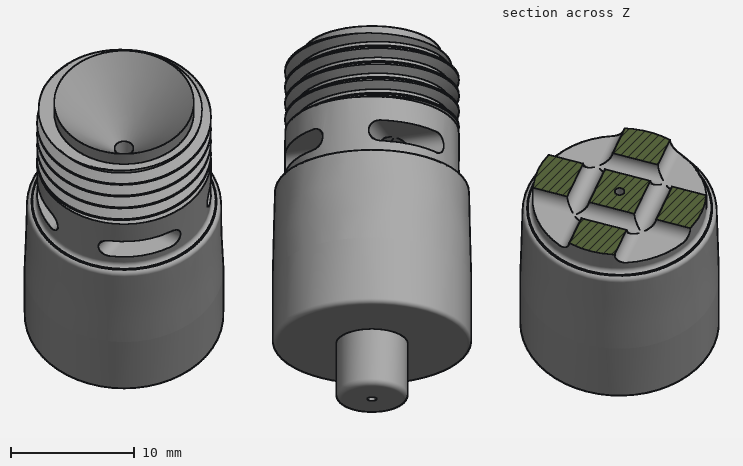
import cadquery as cq
import math

total_height = 30.6
base_height = 4.9
taper_start = 10.68
shoulder_height = 18.7
ledge_rise = 0.05
thread_bottom = 23.68
thread_top = 29.35

base_diameter = 16.1
shoulder_diameter = 15.73
neck_diameter = 14.08
rim_diameter = 11.3
pin_diameter = 5.8
base_round = 0.37
shoulder_round = 0.37
neck_fillet = 0.37
pin_round = 0.45

root_diameter = 12.58
pitch = 1.4
crest_width = 0.15
ridge_root_width = 1.1
crest_height_at_minus_x = 27.97

air_hole_diameter = 1.85
air_hole_offset = 2.88
air_hole_height = 20.7

funnel_depth = 5.5
funnel_throat_diameter = 1.53
passage_diameter = 0.73
throat_depth = 2.45


def revolve_profile(profile):
    """Turn a half profile, drawn as radius and height, about the Z axis."""
    return profile.close().revolve(360, (0, 0, 0), (0, 1, 0))


def make_threaded_core():
    """Root cylinder with a helical ridge, trimmed flat at both thread ends."""
    length = thread_top - thread_bottom
    root_radius = root_diameter / 2
    crest_radius = neck_diameter / 2
    flank_slope = (ridge_root_width - crest_width) / 2 / (crest_radius - root_radius)
    root_overlap = 0.05
    buried_half = ridge_root_width / 2 + flank_slope * root_overlap
    buried_radius = root_radius - root_overlap
    turns = math.ceil(length / pitch) + 2
    start = crest_height_at_minus_x - pitch * (turns - 2)
    ridge_section = (
        cq.Workplane("XZ")
        .moveTo(buried_radius, -buried_half)
        .lineTo(crest_radius, -crest_width / 2)
        .lineTo(crest_radius, crest_width / 2)
        .lineTo(buried_radius, buried_half)
        .close()
    )
    path = cq.Workplane(obj=cq.Wire.makeHelix(pitch, pitch * turns, root_radius))
    ridge = ridge_section.sweep(path, isFrenet=True)
    ridge = ridge.rotate((0, 0, 0), (0, 0, 1), 180).translate((0, 0, start))
    core_start = thread_bottom - length
    core = cq.Workplane("XY").workplane(offset=core_start).circle(root_radius).extrude(3 * length)
    trim = cq.Workplane("XY").workplane(offset=thread_bottom).circle(neck_diameter).extrude(length)
    return core.union(ridge).intersect(trim)


def make_outer_body():
    """Base cylinder, tapered sleeve, filleted neck and thin-edged rim."""
    base_radius = base_diameter / 2
    shoulder_radius = shoulder_diameter / 2
    neck_radius = neck_diameter / 2
    ledge_height = shoulder_height + ledge_rise
    diagonal = 1 - math.sqrt(0.5)
    sleeve = revolve_profile(
        cq.Workplane("XZ")
        .moveTo(0, base_height)
        .lineTo(base_radius - base_round, base_height)
        .threePointArc(
            (base_radius - base_round * diagonal, base_height + base_round * diagonal),
            (base_radius, base_height + base_round),
        )
        .lineTo(base_radius, taper_start)
        .lineTo(shoulder_radius, shoulder_height - shoulder_round)
        .threePointArc(
            (shoulder_radius - shoulder_round * diagonal, shoulder_height - shoulder_round * diagonal),
            (shoulder_radius - shoulder_round, shoulder_height),
        )
        .lineTo(neck_radius + neck_fillet, ledge_height)
        .threePointArc(
            (neck_radius + neck_fillet * diagonal, ledge_height + neck_fillet * diagonal),
            (neck_radius, ledge_height + neck_fillet),
        )
        .lineTo(neck_radius, thread_bottom)
        .lineTo(0, thread_bottom)
    )
    rim = (
        cq.Workplane("XY").workplane(offset=thread_top)
        .circle(rim_diameter / 2).extrude(total_height - thread_top)
    )
    return sleeve.union(make_threaded_core()).union(rim)


def make_air_cuts():
    """Two pairs of crossing holes and the rounded notch outside each crossing."""
    reach = base_diameter
    radius = air_hole_diameter / 2
    cuts = cq.Workplane("XY")
    for side in (-1, 1):
        offset = side * air_hole_offset
        along_y = cq.Workplane("XZ").center(offset, air_hole_height).circle(radius).extrude(reach, both=True)
        along_x = cq.Workplane("YZ").center(offset, air_hole_height).circle(radius).extrude(reach, both=True)
        cuts = cuts.union(along_y).union(along_x)
        for other_side in (-1, 1):
            notch = cq.Workplane("XY").box(reach, reach, air_hole_diameter).translate((
                side * (air_hole_offset + reach / 2),
                other_side * (air_hole_offset + reach / 2),
                air_hole_height,
            ))
            cuts = cuts.union(notch)
    return cuts


def make_funnel():
    """Intake cone that narrows steeply to the passage below its throat."""
    throat_height = total_height - funnel_depth
    return revolve_profile(
        cq.Workplane("XZ")
        .moveTo(0, total_height)
        .lineTo(rim_diameter / 2, total_height)
        .lineTo(funnel_throat_diameter / 2, throat_height)
        .lineTo(passage_diameter / 2, throat_height - throat_depth)
        .lineTo(0, throat_height - throat_depth)
    )


def make_passage():
    """Bore through the pin and housing, up to the funnel throat."""
    return cq.Workplane("XY").circle(passage_diameter / 2).extrude(total_height - funnel_depth)


def make_pin():
    """Pin with a rounded tip, standing against the underside of the housing."""
    return (
        cq.Workplane("XY").circle(pin_diameter / 2).extrude(base_height)
        .faces("<Z").edges().fillet(pin_round)
    )


passage = make_passage()
housing = make_outer_body().cut(make_air_cuts()).cut(make_funnel()).cut(passage)
pin = make_pin().cut(passage)

result = cq.Compound.makeCompound([housing.solids().val(), pin.solids().val()])